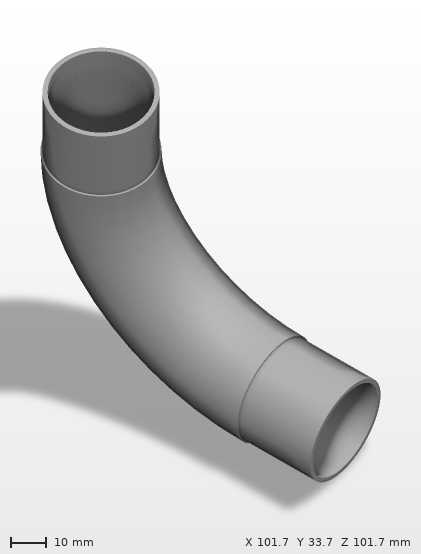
import cadquery as cq

overall_size = 101.7
bend_diameter = 33.7
spigot_diameter = 32.5
bore_diameter = 29.7
spigot_length = 24.9

bend_radius = overall_size - spigot_length - bend_diameter / 2


def elbow(bend_section, spigot_section):
    """Solid elbow: vertical spigot, quarter bend, then spigot along +X.

    The origin is the centre of the vertical spigot's joint with the bend.
    """
    vertical_spigot = cq.Workplane("XY").circle(spigot_section / 2).extrude(spigot_length)
    bend = (
        cq.Workplane("XY")
        .circle(bend_section / 2)
        .revolve(90, (bend_radius, 0, 0), (bend_radius, -1, 0))
    )
    horizontal_spigot = (
        cq.Workplane("YZ", origin=(bend_radius, 0, -bend_radius))
        .circle(spigot_section / 2)
        .extrude(spigot_length)
    )
    return vertical_spigot.union(bend).union(horizontal_spigot)


outer_body = elbow(bend_diameter, spigot_diameter)
bore = elbow(bore_diameter, bore_diameter)
result = outer_body.cut(bore)